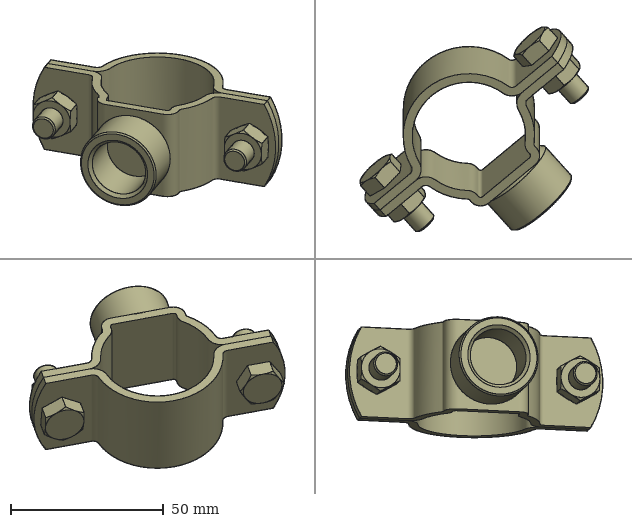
import cadquery as cq
import math


OVERALL_LENGTH = 85.0
STRAP_WIDTH = 30.0
THICKNESS = 3.0
RING_OUTER_R = 21.5
RING_INNER_R = RING_OUTER_R - THICKNESS
FLANGE_END_R = STRAP_WIDTH
FLANGE_BEND_R = 2.0

SEAT_HALF_LENGTH = 10.1
SEAT_BEND_R = 1.0

SOCKET_R = 13.3
SOCKET_LENGTH = 15.0
SOCKET_BORE_R = 9.35
SOCKET_SEAT_CHAMFER = 1.5
SOCKET_RIM_CHAMFER = 0.5
SOCKET_BORE_CHAMFER = 1.1

BOLT_X = 33.5
BOLT_R = 4.0
BOLT_LENGTH = 20.0
BOLT_TIP_CHAMFER = 0.5
HEX_ACROSS_FLATS = 13.0
HEAD_HEIGHT = 5.3
NUT_HEIGHT = 6.5
HEX_HALF_ANGLE = 30.0
HEX_CHAMFER_ANGLE = 30.0
LEFT_HEAD_TURN = HEX_HALF_ANGLE
RIGHT_HEAD_TURN = -3.6

FLANGE_BEND_Y = THICKNESS + FLANGE_BEND_R
FLANGE_BEND_X = math.sqrt((RING_OUTER_R + FLANGE_BEND_R) ** 2 - FLANGE_BEND_Y ** 2)
FLANGE_BEND_ANGLE = math.degrees(math.atan2(FLANGE_BEND_Y, FLANGE_BEND_X))

SEAT_OUTER_Y = -RING_OUTER_R
SEAT_BEND_Y = SEAT_OUTER_Y + THICKNESS + SEAT_BEND_R
SEAT_WALL_X = SEAT_HALF_LENGTH + SEAT_BEND_R + THICKNESS
NECK_BEND_X = SEAT_WALL_X + SEAT_BEND_R
NECK_BEND_Y = -math.sqrt((RING_OUTER_R + SEAT_BEND_R) ** 2 - NECK_BEND_X ** 2)
NECK_BEND_ANGLE = math.degrees(math.atan2(NECK_BEND_Y, NECK_BEND_X))


def bend(center, inner_r, start_angle, end_angle):
    """Curved length of strap, swept between two angles about a centre."""
    middle_angle = (start_angle + end_angle) / 2

    def point(radius, angle):
        a = math.radians(angle)
        return (center[0] + radius * math.cos(a), center[1] + radius * math.sin(a))

    outer_r = inner_r + THICKNESS
    return (
        cq.Workplane("XY")
        .moveTo(*point(inner_r, start_angle))
        .lineTo(*point(outer_r, start_angle))
        .threePointArc(point(outer_r, middle_angle), point(outer_r, end_angle))
        .lineTo(*point(inner_r, end_angle))
        .threePointArc(point(inner_r, middle_angle), point(inner_r, start_angle))
        .close()
        .extrude(STRAP_WIDTH / 2, both=True)
    )


def flat(x_min, x_max, y_min, y_max):
    """Straight length of strap over the full width."""
    return (
        cq.Workplane("XY")
        .moveTo((x_min + x_max) / 2, (y_min + y_max) / 2)
        .rect(x_max - x_min, y_max - y_min)
        .extrude(STRAP_WIDTH / 2, both=True)
    )


def bolt_cylinder(x, radius, y_from, length):
    """Cylinder on a bolt axis, running from y_from toward -Y."""
    return cq.Workplane("XZ", origin=(x, y_from, 0)).circle(radius).extrude(length)


def flange():
    """+X ear above Y = 0, with its rounded end, bolt hole and bend toward the ring."""
    tip = OVERALL_LENGTH / 2
    end_center_x = tip - FLANGE_END_R
    ear = flat(FLANGE_BEND_X, tip, 0, THICKNESS)
    rounded_end = bolt_cylinder(end_center_x, FLANGE_END_R, THICKNESS, THICKNESS)
    hole = bolt_cylinder(BOLT_X, BOLT_R, THICKNESS, THICKNESS)
    ear_bend = bend((FLANGE_BEND_X, FLANGE_BEND_Y), FLANGE_BEND_R, 180 + FLANGE_BEND_ANGLE, 270)
    return ear.intersect(rounded_end).cut(hole).union(ear_bend)


def upper_half():
    ear = flange()
    ring = bend((0, 0), RING_INNER_R, FLANGE_BEND_ANGLE, 180 - FLANGE_BEND_ANGLE)
    return ring.union(ear).union(ear.mirror("YZ"))


def lower_half():
    ear = flange().mirror("XZ")
    ring = bend((0, 0), RING_INNER_R, NECK_BEND_ANGLE, -FLANGE_BEND_ANGLE)
    neck = bend((NECK_BEND_X, NECK_BEND_Y), SEAT_BEND_R, 180 + NECK_BEND_ANGLE, 180)
    wall = flat(SEAT_WALL_X - THICKNESS, SEAT_WALL_X, SEAT_BEND_Y, NECK_BEND_Y)
    corner = bend((SEAT_HALF_LENGTH, SEAT_BEND_Y), SEAT_BEND_R, 270, 360)
    side = ear.union(ring).union(neck).union(wall).union(corner)
    seat = flat(-SEAT_HALF_LENGTH, SEAT_HALF_LENGTH, SEAT_OUTER_Y, SEAT_OUTER_Y + THICKNESS)
    return seat.union(side).union(side.mirror("YZ"))


def socket():
    """Round socket on the seat, bored through to the strap."""
    body = cq.Workplane("XZ", origin=(0, SEAT_OUTER_Y, 0)).circle(SOCKET_R).extrude(SOCKET_LENGTH)
    body = body.faces(">Y").chamfer(SOCKET_SEAT_CHAMFER)
    body = body.faces("<Y").chamfer(SOCKET_RIM_CHAMFER)
    body = body.faces("<Y").workplane(centerOption="CenterOfMass").hole(2 * SOCKET_BORE_R)
    bore_rim = body.faces("<Y").edges(cq.selectors.RadiusNthSelector(0))
    return bore_rim.chamfer(SOCKET_BORE_CHAMFER)


def hex_prism(x, y_from, height, turn, chamfer_both_ends):
    """Hexagon on a bolt axis from y_from toward -Y, corners chamfered at the +Y end or both ends."""
    flat_r = HEX_ACROSS_FLATS / 2
    corner_r = flat_r / math.cos(math.radians(HEX_HALF_ANGLE))
    drop = (corner_r - flat_r) * math.tan(math.radians(HEX_CHAMFER_ANGLE))
    prism = (
        cq.Workplane("XZ")
        .polygon(6, 2 * corner_r)
        .extrude(height)
        .rotate((0, 0, 0), (0, 1, 0), HEX_HALF_ANGLE + turn)
    )
    profile = cq.Workplane("XY").lineTo(flat_r, 0).lineTo(corner_r, -drop)
    if chamfer_both_ends:
        profile = profile.lineTo(corner_r, drop - height).lineTo(flat_r, -height)
    else:
        profile = profile.lineTo(corner_r, -height)
    envelope = profile.lineTo(0, -height).close().revolve(360, (0, 0), (0, 1))
    return prism.intersect(envelope).translate((x, y_from, 0))


def bolt(x, head_turn):
    shank = bolt_cylinder(x, BOLT_R, THICKNESS, BOLT_LENGTH).faces("<Y").chamfer(BOLT_TIP_CHAMFER)
    head = hex_prism(x, THICKNESS + HEAD_HEIGHT, HEAD_HEIGHT, head_turn, chamfer_both_ends=False)
    return head.union(shank)


def nut(x):
    blank = hex_prism(x, -THICKNESS, NUT_HEIGHT, 0, chamfer_both_ends=True)
    return blank.cut(bolt_cylinder(x, BOLT_R, -THICKNESS, NUT_HEIGHT))


bodies = [upper_half().val(), lower_half().val(), socket().val()]
for bolt_x, head_turn in [(-BOLT_X, LEFT_HEAD_TURN), (BOLT_X, RIGHT_HEAD_TURN)]:
    bodies.append(bolt(bolt_x, head_turn).val())
    bodies.append(nut(bolt_x).val())

result = cq.Compound.makeCompound(bodies)